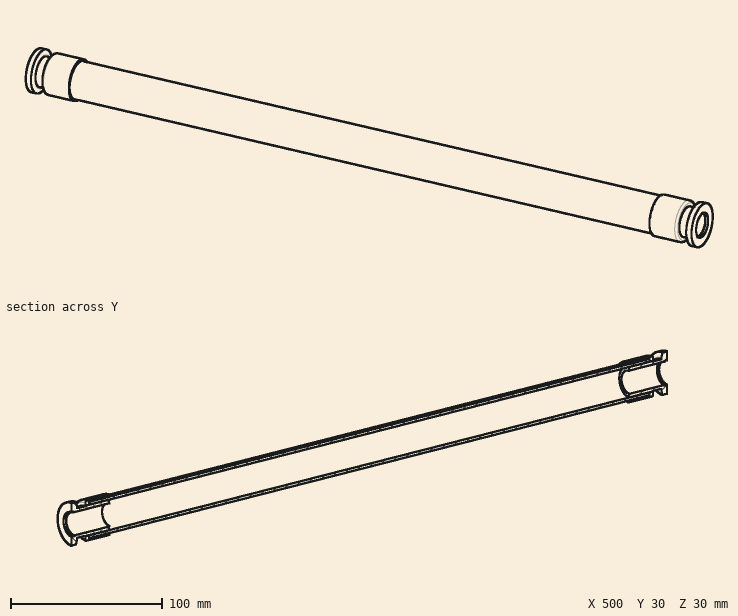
import cadquery as cq

total_length = 500.0
half_length = total_length / 2

flange_diameter = 30.0
rim_thickness = 4.0
flange_thickness = 5.0
flange_root_diameter = 23.0
neck_diameter = 21.0
bore_diameter = 16.0
mouth_diameter = 17.0
mouth_depth = 2.0

ferrule_setback = 11.5
ferrule_length = 20.5
ferrule_diameter = 28.5
ferrule_lip = 3.0
ferrule_edge_radius = 1.5

hose_diameter = 26.0

ferrule_outer_end = half_length - ferrule_setback
ferrule_inner_end = ferrule_outer_end - ferrule_length
hose_end = ferrule_outer_end - ferrule_lip
END_DIRECTIONS = (-1, 1)


def cylinder(diameter, start, end):
    """Cylinder on the X axis between two X positions."""
    return cq.Workplane("YZ", origin=(start, 0, 0)).circle(diameter / 2).extrude(end - start)


def facing(body, direction):
    """Body modelled for the +X end, turned to the -X end when direction is -1."""
    return body if direction > 0 else body.rotate((0, 0, 0), (0, 0, 1), 180)


def make_hose():
    """Plain tube whose bore fits the stems."""
    tube = cylinder(hose_diameter, -hose_end, hose_end)
    return tube.cut(cylinder(neck_diameter, -hose_end, hose_end))


def make_ferrule(direction):
    """Sleeve over the hose end, with a rounded lip closing in on the stem."""
    sleeve = cylinder(ferrule_diameter, ferrule_inner_end, ferrule_outer_end)
    sleeve = sleeve.faces(">X").edges().fillet(ferrule_edge_radius)
    sleeve = sleeve.cut(cylinder(hose_diameter, ferrule_inner_end, hose_end))
    sleeve = sleeve.cut(cylinder(neck_diameter, hose_end, ferrule_outer_end))
    return facing(sleeve, direction)


def make_stem(direction):
    """Tubular stem reaching into the hose, with a taper-backed flange and a shallow counterbore."""
    flange_back = half_length - flange_thickness
    rim_back = half_length - rim_thickness
    mouth_end = half_length - mouth_depth
    profile = [
        (ferrule_inner_end, bore_diameter / 2),
        (mouth_end, bore_diameter / 2),
        (mouth_end, mouth_diameter / 2),
        (half_length, mouth_diameter / 2),
        (half_length, flange_diameter / 2),
        (rim_back, flange_diameter / 2),
        (flange_back, flange_root_diameter / 2),
        (flange_back, neck_diameter / 2),
        (ferrule_inner_end, neck_diameter / 2),
    ]
    stem = cq.Workplane("XY").polyline(profile).close().revolve(360, (0, 0, 0), (1, 0, 0))
    return facing(stem, direction)


hose = make_hose()
ferrules = [make_ferrule(direction) for direction in END_DIRECTIONS]
stems = [make_stem(direction) for direction in END_DIRECTIONS]

result = cq.Compound.makeCompound([body.val() for body in [hose, *ferrules, *stems]])